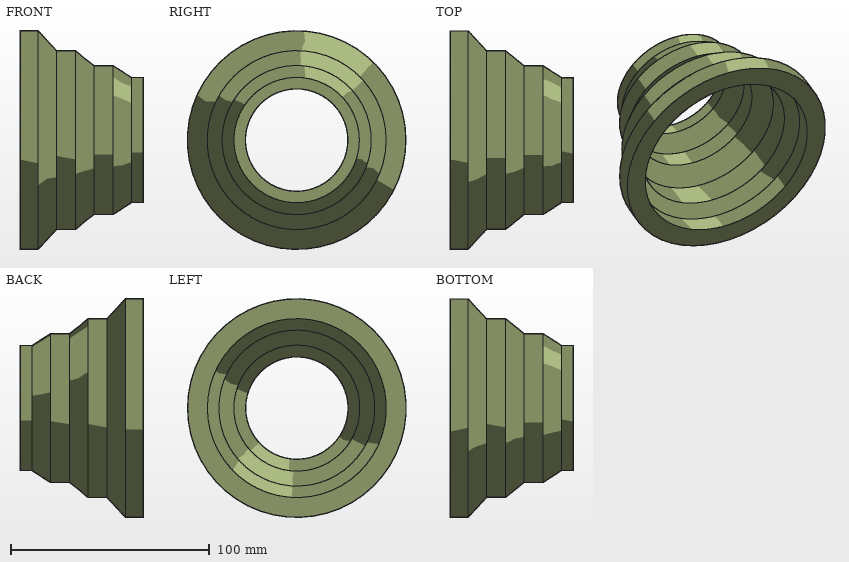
import cadquery as cq

total_length = 62.0
flange_length = 9.1
cone_length = 9.2
step_length = 9.6
bore_lead_in_length = 5.7

outer_diameters = [110.0, 90.0, 75.0, 63.0]
bore_diameters = [90.0, 78.4, 63.4, 51.4]


def stepped_profile(diameters, first_cone_length):
    """Return (x, radius) points along cylinders joined by cones."""
    points = [(0, diameters[0] / 2)]
    x = flange_length
    length = first_cone_length
    for large, small in zip(diameters, diameters[1:]):
        points.append((x, large / 2))
        points.append((x + length, small / 2))
        length = cone_length
        x += cone_length + step_length
    points.append((total_length, diameters[-1] / 2))
    return points


outer_points = stepped_profile(outer_diameters, cone_length)
bore_points = stepped_profile(bore_diameters, bore_lead_in_length)
section = cq.Workplane("XY").polyline(outer_points + bore_points[::-1]).close()

result = section.revolve(360, (0, 0, 0), (1, 0, 0))